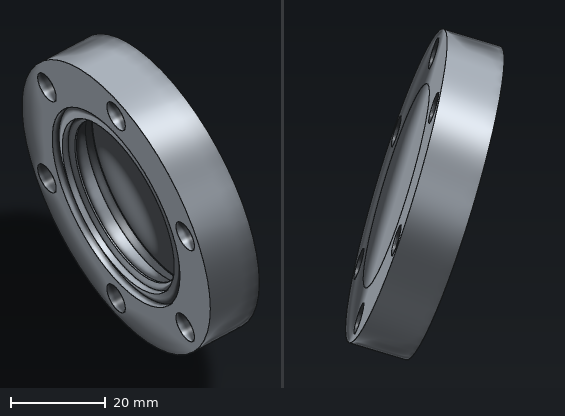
import cadquery as cq
import math

flange_diameter = 69.35
flange_thickness = 12.7
front_y = -flange_thickness / 2

bolt_count = 6
bolt_hole_diameter = 6.8
bolt_circle_diameter = 58.7

recess_radius = 23.5
recess_depth = 1.7
knife_edge_radius = 20.6
knife_edge_depth = 0.55

cone_start_depth = 2.1
lip_radius = 19.15
lip_front_depth = 2.8
lip_thickness = 0.4

front_chamber_radius = 21.4
chamber_step_depth = 7.15
rear_chamber_radius = 22.9
window_radius = 22.55
window_front_depth = 9.7


def depth_to_y(depth):
    """Y position of a plane at the given depth behind the front face."""
    return front_y + depth


def make_flange():
    """Revolve the flange section about Y, then drill the bolt holes."""
    outer_radius = flange_diameter / 2
    lip_back_depth = lip_front_depth + lip_thickness
    section = [
        (outer_radius, 0),
        (recess_radius, 0),
        (recess_radius, recess_depth),
        (knife_edge_radius, knife_edge_depth),
        (knife_edge_radius, cone_start_depth),
        (lip_radius, lip_front_depth),
        (lip_radius, lip_back_depth),
        (front_chamber_radius, lip_back_depth),
        (front_chamber_radius, chamber_step_depth),
        (rear_chamber_radius, chamber_step_depth),
        (rear_chamber_radius, window_front_depth),
        (window_radius, window_front_depth),
        (window_radius, flange_thickness),
        (outer_radius, flange_thickness),
    ]
    body = (
        cq.Workplane("XY")
        .polyline([(radius, depth_to_y(depth)) for radius, depth in section])
        .close()
        .revolve(360, (0, 0, 0), (0, 1, 0))
    )
    return body.cut(make_bolt_holes())


def make_bolt_holes():
    """Through holes parallel to Y, the first one at the top (+Z)."""
    first_hole_angle = 90
    return (
        cq.Workplane("XZ", origin=(0, front_y, 0))
        .polarArray(bolt_circle_diameter / 2, first_hole_angle, 360, bolt_count)
        .circle(bolt_hole_diameter / 2)
        .extrude(-flange_thickness)
    )


def make_window():
    """Disc that fills the rear seat, flush with the flange back."""
    return (
        cq.Workplane("XZ", origin=(0, depth_to_y(window_front_depth), 0))
        .circle(window_radius)
        .extrude(-(flange_thickness - window_front_depth))
    )


flange = make_flange()
window = make_window()

result = cq.Compound.makeCompound([flange.val(), window.val()])